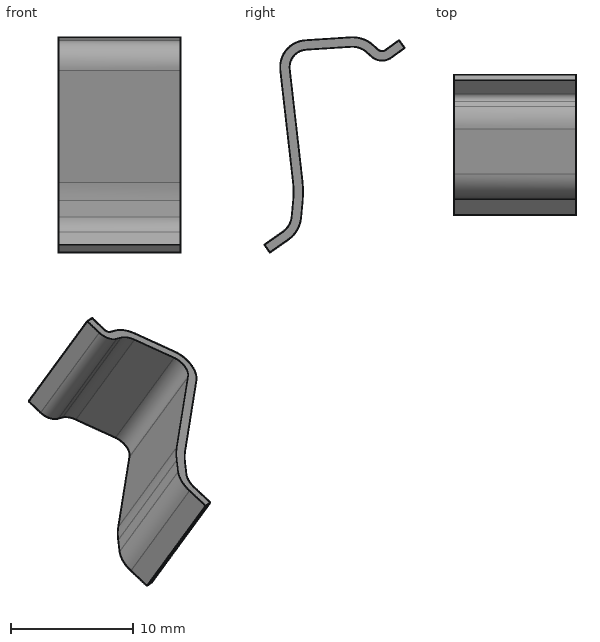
import cadquery as cq
import math

width = 10.0
thickness = 0.8

lip_heading = -36
ramp_heading = 42
roof_heading = -3.7
wall_heading = -96.5
shin_heading = -84.6
foot_heading = -35

lip_length = 1.35
ramp_length = 0.55
roof_length = 3.7
wall_length = 9.2
shin_length = 1.35
foot_length = 1.85

valley_radius = 0.5
hump_radius = 1.7
shoulder_radius = 1.43
knee_radius = 7.04
ankle_radius = 1.69

legs = [
    (lip_heading, lip_length, valley_radius),
    (ramp_heading, ramp_length, hump_radius),
    (roof_heading, roof_length, shoulder_radius),
    (wall_heading, wall_length, knee_radius),
    (shin_heading, shin_length, ankle_radius),
]


def step(point, heading, distance):
    """Move from a (y, z) point along a heading in degrees."""
    angle = math.radians(heading)
    return (point[0] - distance * math.cos(angle), point[1] + distance * math.sin(angle))


def straight(point, heading, length):
    """Build one straight stretch of strip; return it with its end point."""
    end = step(point, heading, length)
    half = thickness / 2
    corners = [
        step(point, heading + 90, half),
        step(end, heading + 90, half),
        step(end, heading - 90, half),
        step(point, heading - 90, half),
    ]
    return cq.Workplane("YZ").polyline(corners).close().extrude(width), end


def bend(point, heading, next_heading, inside_radius):
    """Build one bend of strip; return it with its end point."""
    side = math.copysign(90, next_heading - heading)
    centre = step(point, heading + side, inside_radius + thickness / 2)
    middle_heading = (heading + next_heading) / 2
    outside_radius = inside_radius + thickness

    def on_arc(radius, local_heading):
        return step(centre, local_heading - side, radius)

    body = (
        cq.Workplane("YZ")
        .moveTo(*on_arc(inside_radius, heading))
        .threePointArc(on_arc(inside_radius, middle_heading), on_arc(inside_radius, next_heading))
        .lineTo(*on_arc(outside_radius, next_heading))
        .threePointArc(on_arc(outside_radius, middle_heading), on_arc(outside_radius, heading))
        .close()
        .extrude(width)
    )
    return body, on_arc(inside_radius + thickness / 2, next_heading)


next_headings = [leg[0] for leg in legs[1:]] + [foot_heading]
position = (0, 0)
pieces = []
for (heading, length, radius), next_heading in zip(legs, next_headings):
    piece, position = straight(position, heading, length)
    pieces.append(piece)
    piece, position = bend(position, heading, next_heading, radius)
    pieces.append(piece)

result, position = straight(position, foot_heading, foot_length)
for piece in pieces:
    result = result.union(piece)